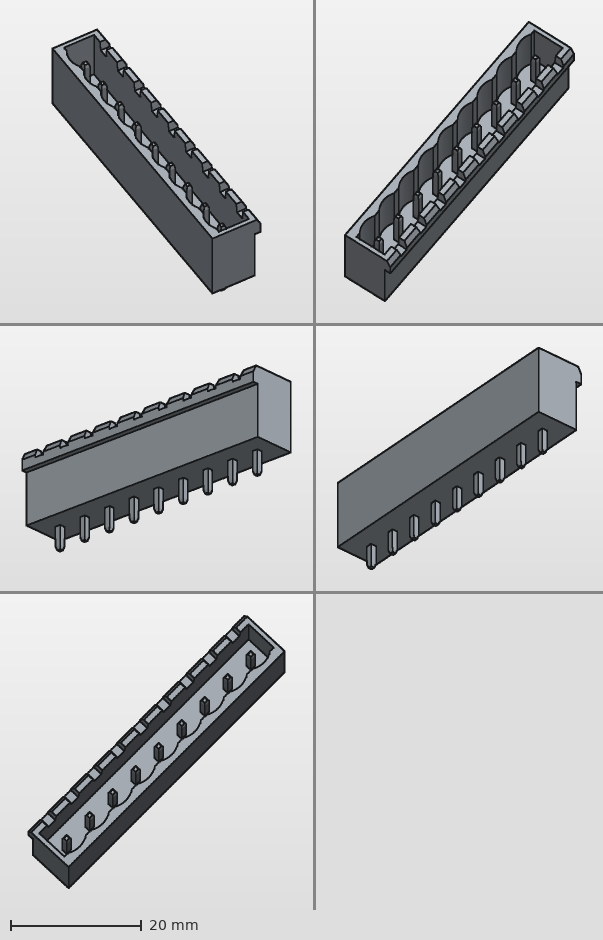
import cadquery as cq

pin_count = 9
pin_row_span = 40.65
pitch = pin_row_span / (pin_count - 1)
pin_positions = [(i - (pin_count - 1) / 2) * pitch for i in range(pin_count)]

length = 47.7
depth = 8.6
lip_overhang = 1.0
body_depth = depth - lip_overhang
height = 12.0
lip_height = 3.0
lip_chamfer_depth = 0.6
lip_chamfer_height = 1.2

cavity_depth = 8.6
floor_z = height - cavity_depth
end_wall = 0.75
front_wall = 1.6
rear_wall = 1.6
cavity_back_y = depth - rear_wall
cavity_length = length - 2 * end_wall

scallop_chord = 3.9
scallop_sagitta = 0.55

notch_depth = 1.6
notch_top_width = 2.0
notch_bottom_width = 1.55

pin_width = 1.0
pin_y = 3.8
pin_tail = 4.0
pin_recess = 2.1
pin_top_z = height - pin_recess
pin_tip_length = 0.6
pin_tip_width = 0.6


def make_housing():
    """Box with a chamfered lip along its rear top edge."""
    return (
        cq.Workplane("YZ", origin=(-length / 2, 0, 0))
        .moveTo(0, 0)
        .lineTo(body_depth, 0)
        .lineTo(body_depth, height - lip_height)
        .lineTo(depth, height - lip_height)
        .lineTo(depth, height - lip_chamfer_height)
        .lineTo(depth - lip_chamfer_depth, height)
        .lineTo(0, height)
        .close()
        .extrude(length)
    )


def make_cavity():
    """Rectangular pocket whose front side bulges forward in an arc at every pin."""
    half_length = cavity_length / 2
    outline = (
        cq.Workplane("XY", origin=(0, 0, floor_z))
        .moveTo(-half_length, cavity_back_y)
        .lineTo(-half_length, front_wall)
    )
    for x in pin_positions:
        outline = outline.lineTo(x - scallop_chord / 2, front_wall).threePointArc(
            (x, front_wall - scallop_sagitta),
            (x + scallop_chord / 2, front_wall),
        )
    return (
        outline.lineTo(half_length, front_wall)
        .lineTo(half_length, cavity_back_y)
        .close()
        .extrude(cavity_depth)
    )


def make_notch(x):
    """Trapezoidal slot running from the cavity through the rear wall."""
    return (
        cq.Workplane("XZ", origin=(x, depth, height))
        .moveTo(-notch_top_width / 2, 0)
        .lineTo(-notch_bottom_width / 2, -notch_depth)
        .lineTo(notch_bottom_width / 2, -notch_depth)
        .lineTo(notch_top_width / 2, 0)
        .close()
        .extrude(rear_wall)
    )


def make_pin_tip(x, base_z, tip_z):
    """Square frustum narrowing from base_z to tip_z."""
    return (
        cq.Workplane("XY", origin=(x, pin_y, base_z))
        .rect(pin_width, pin_width)
        .workplane(offset=tip_z - base_z)
        .rect(pin_tip_width, pin_tip_width)
        .loft(ruled=True)
    )


def make_pin(x):
    """Straight square pin through the cavity floor, tapered at both ends."""
    shank_bottom_z = -pin_tail + pin_tip_length
    shank_top_z = pin_top_z - pin_tip_length
    shank = (
        cq.Workplane("XY", origin=(x, pin_y, shank_bottom_z))
        .rect(pin_width, pin_width)
        .extrude(shank_top_z - shank_bottom_z)
    )
    return (
        shank.union(make_pin_tip(x, shank_top_z, pin_top_z))
        .union(make_pin_tip(x, shank_bottom_z, -pin_tail))
    )


part = make_housing().cut(make_cavity())
for pin_x in pin_positions:
    part = part.cut(make_notch(pin_x))
for pin_x in pin_positions:
    part = part.union(make_pin(pin_x))

result = part